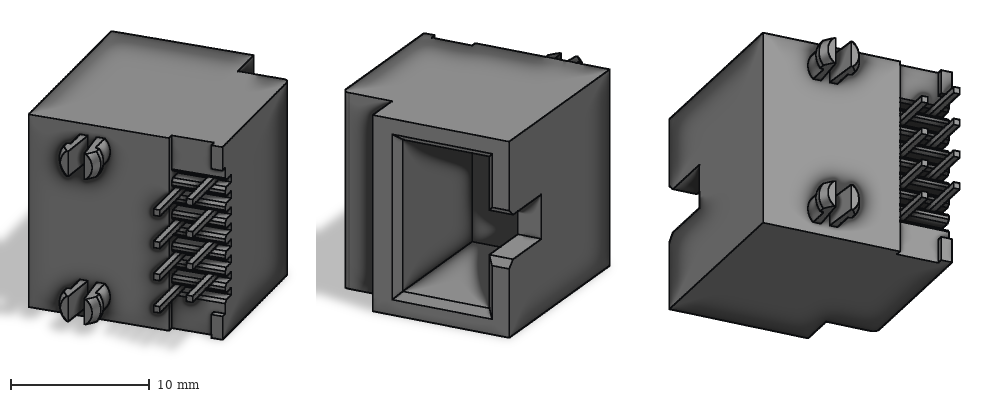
import cadquery as cq


body_width = 15.09
body_height = 15.24
body_depth = 15.7
step_x = 11.08
step_depth = 3.02
corner_radius = 0.48

recess_x = 10.92
recess_depth = 0.51
foot_width = 0.87
foot_height = 1.86

wall = 1.92
cavity_width = 7.03
cavity_height = 11.78
cavity_depth = 11.4
notch_height = 3.45
notch_depth = 5.04
lead_in_depth = 0.6
lead_in_spread = 0.53

pin_count = 8
pin_pitch = 1.27
pin_size = 0.5
pin_length = 3.3
near_row_x = 11.32
far_row_x = near_row_x + 2 * pin_pitch
groove_width = 1.0
groove_chamfer = 0.23
groove_depth = 1.14

peg_x = 4.95
peg_z = 5.74
peg_flat_height = 2.0
stem_radius = 1.39
barb_radius = 1.62
tip_radius = 1.24
stem_length = 1.71
barb_start = 1.82
barb_end = 2.34
peg_length = 3.05
slot_root = 0.68
slot_tip = 1.22


def block(x_range, y_range, z_range):
    """Box spanning the given (low, high) pairs."""
    spans = [high - low for low, high in (x_range, y_range, z_range)]
    corner = (x_range[0], y_range[0], z_range[0])
    return cq.Workplane("XY").box(*spans, centered=False).translate(corner)


def make_housing():
    back_y = body_depth - step_depth
    outline = [
        (0, 0),
        (body_width, 0),
        (body_width, back_y),
        (step_x, back_y),
        (step_x, body_depth),
        (0, body_depth),
    ]
    housing = cq.Workplane("XY").polyline(outline).close().extrude(body_height / 2, both=True)
    return housing.edges("|Z").edges(">X").edges(">Y").fillet(corner_radius)


def make_recess():
    """Shallow pocket that leaves a foot at each end of the +X edge."""
    foot_x = body_width - foot_width
    foot_z = body_height / 2 - foot_height
    full = block((recess_x, foot_x), (0, recess_depth), (-body_height / 2, body_height / 2))
    between_feet = block((foot_x, body_width), (0, recess_depth), (-foot_z, foot_z))
    return full.union(between_feet)


def make_cavity():
    """Plug opening with a flared mouth."""
    middle_x = wall + cavity_width / 2
    cavity = block(
        (wall, wall + cavity_width),
        (body_depth - cavity_depth, body_depth),
        (-cavity_height / 2, cavity_height / 2),
    )
    mouth = (
        cq.Workplane("XZ", origin=(middle_x, body_depth, 0))
        .rect(cavity_width + 2 * lead_in_spread, cavity_height + 2 * lead_in_spread)
        .workplane(offset=lead_in_depth)
        .rect(cavity_width, cavity_height)
        .loft()
    )
    return cavity.union(mouth)


def make_notch():
    """Latch notch through the -X wall, flared at the plug end."""
    half = notch_height / 2
    inner_y = body_depth - notch_depth
    flare_y = body_depth - lead_in_depth
    outline = [
        (inner_y, -half),
        (flare_y, -half),
        (body_depth, -half - lead_in_spread),
        (body_depth, half + lead_in_spread),
        (flare_y, half),
        (inner_y, half),
    ]
    return cq.Workplane("YZ").polyline(outline).close().extrude(wall + lead_in_spread)


def make_groove(z):
    """Parallel-sided channel along X with chamfered lips, open at the +X side."""
    lip = groove_width / 2
    side = lip - groove_chamfer
    chamfer_y = recess_depth + groove_chamfer
    floor_y = recess_depth + groove_depth
    outline = [
        (recess_depth, z - lip),
        (chamfer_y, z - side),
        (floor_y, z - side),
        (floor_y, z + side),
        (chamfer_y, z + side),
        (recess_depth, z + lip),
    ]
    length = body_width - recess_x
    return cq.Workplane("YZ", origin=(recess_x, 0, 0)).polyline(outline).close().extrude(length)


def make_pin(x, z):
    half = pin_size / 2
    root_y = recess_depth + groove_depth + pin_size
    return block((x - half, x + half), (-pin_length, root_y), (z - half, z + half))


def make_peg(z):
    """Barbed round peg with flat sides, split by a slot that widens to the tip."""
    profile = [
        (0, 0),
        (stem_radius, 0),
        (stem_radius, -stem_length),
        (barb_radius, -barb_start),
        (barb_radius, -barb_end),
        (tip_radius, -peg_length),
        (0, -peg_length),
    ]
    peg = cq.Workplane("XY").polyline(profile).close().revolve(360, (0, 0, 0), (0, 1, 0))
    flat_z = peg_flat_height / 2
    flats = block((-barb_radius, barb_radius), (-peg_length, 0), (-flat_z, flat_z))
    slot_outline = [
        (-slot_root / 2, 0),
        (slot_root / 2, 0),
        (slot_tip / 2, -peg_length),
        (-slot_tip / 2, -peg_length),
    ]
    slot = cq.Workplane("XY").polyline(slot_outline).close().extrude(peg_flat_height, both=True)
    return peg.intersect(flats).cut(slot).translate((peg_x, 0, z))


result = make_housing().cut(make_recess()).cut(make_cavity()).cut(make_notch())

for index in range(pin_count):
    pin_z = (index - (pin_count - 1) / 2) * pin_pitch
    pin_x = near_row_x if index % 2 == 0 else far_row_x
    result = result.cut(make_groove(pin_z)).union(make_pin(pin_x, pin_z))

for side in (-1, 1):
    result = result.union(make_peg(side * peg_z))